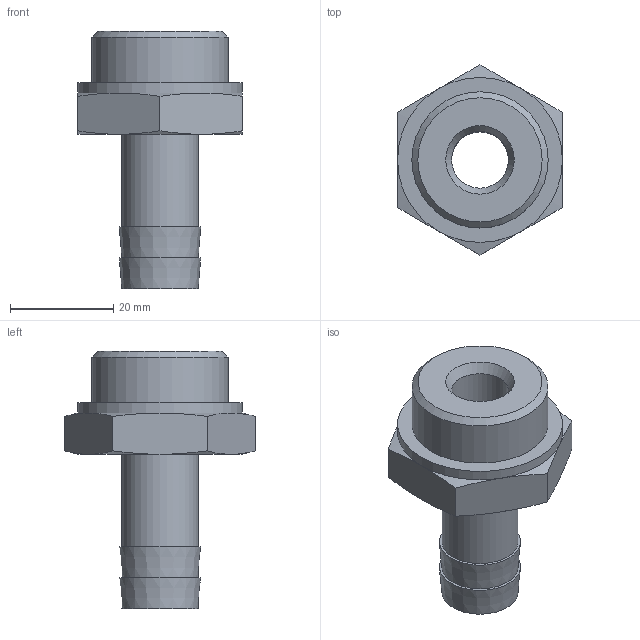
import cadquery as cq
import math


total_height = 50.0
hex_bottom = 30.0
collar_bottom = 38.0
collar_top = 40.0

spigot_diameter = 26.44
spigot_chamfer = 1.16

hex_across_flats = 32.0
hex_across_corners = hex_across_flats / math.cos(math.radians(30))
hex_chamfer_angle = 15.0
collar_diameter = hex_across_flats

tail_diameter = 14.8
barb_diameter = 15.8
barb_length = 6.0
barb_count = 2

bore_diameter = 11.0
seat_depth = 2.0
seat_half_angle = 30.0
seat_diameter = bore_diameter + 2 * seat_depth * math.tan(math.radians(seat_half_angle))


def cylinder(diameter, bottom, top):
    """Solid cylinder on the Z axis between two heights."""
    return cq.Workplane("XY").workplane(offset=bottom).circle(diameter / 2).extrude(top - bottom)


def cone(bottom_diameter, top_diameter, bottom, top):
    """Solid truncated cone on the Z axis between two heights."""
    return cq.Workplane("XY").add(
        cq.Solid.makeCone(
            bottom_diameter / 2,
            top_diameter / 2,
            top - bottom,
            pnt=cq.Vector(0, 0, bottom),
        )
    )


def make_spigot():
    """Spigot with a chamfered free end."""
    spigot = cylinder(spigot_diameter, collar_top, total_height)
    return spigot.faces(">Z").edges().chamfer(spigot_chamfer)


def make_hexagon():
    """Hexagon with corners on the Y axis, its corners turned off at both ends."""
    prism = (
        cq.Workplane("XY")
        .workplane(offset=hex_bottom)
        .polygon(6, hex_across_corners)
        .extrude(collar_bottom - hex_bottom)
        .rotate((0, 0, 0), (0, 0, 1), 30)
    )
    flat_radius = hex_across_flats / 2
    corner_radius = hex_across_corners / 2
    corner_drop = (corner_radius - flat_radius) * math.tan(math.radians(hex_chamfer_angle))
    turned_envelope = (
        cq.Workplane("XZ")
        .moveTo(0, hex_bottom)
        .lineTo(flat_radius, hex_bottom)
        .lineTo(corner_radius, hex_bottom + corner_drop)
        .lineTo(corner_radius, collar_bottom - corner_drop)
        .lineTo(flat_radius, collar_bottom)
        .lineTo(0, collar_bottom)
        .close()
        .revolve(360, (0, 0, 0), (0, 1, 0))
    )
    return prism.intersect(turned_envelope)


def make_tail():
    """Plain tail with conical barbs that widen upward from the free end."""
    tail = cylinder(tail_diameter, barb_count * barb_length, hex_bottom)
    for index in range(barb_count):
        bottom = index * barb_length
        tail = tail.union(cone(tail_diameter, barb_diameter, bottom, bottom + barb_length))
    return tail


def make_bore():
    """Through bore and the conical seat it opens into at the top."""
    bore = cylinder(bore_diameter, 0, total_height)
    seat = cone(bore_diameter, seat_diameter, total_height - seat_depth, total_height)
    return bore.union(seat)


collar = cylinder(collar_diameter, collar_bottom, collar_top)
body = make_tail().union(make_hexagon()).union(collar).union(make_spigot())
result = body.cut(make_bore())